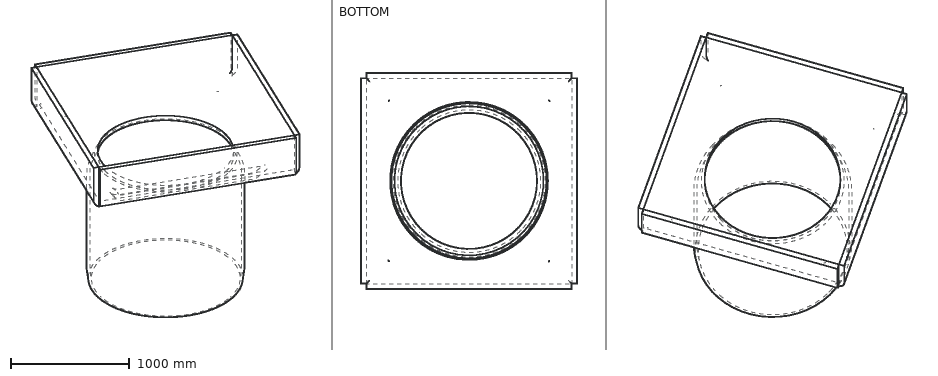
import cadquery as cq
import math

PAN_SIDE = 1820.0
TOTAL_HEIGHT = 1730.0
SHEET = 45.0
INNER_BEND = 36.0
CORNER_GAP = 0.4
PAN_DEPTH = 395.0
DISH_DROP = 133.0
DISH_SLOPE = 58.0
DISH_FLAT = 1147.0
OUTLET_DIAMETER = 1143.0

PIPE_DIAMETER = 1330.0
PIPE_BORE = 1280.0
NECK_BORE = 1150.0
SHOULDER_START = 122.0
SHOULDER_END = 177.0
TIP_LENGTH = 102.0
TIP_INSET = 13.0

OUTER_BEND = INNER_BEND + SHEET
FLOOR_TOP = SHEET - PAN_DEPTH
DISH_BOTTOM = -PAN_DEPTH - DISH_DROP
PIPE_WALL = (PIPE_DIAMETER - PIPE_BORE) / 2
OVERLAP = 18.0


def rounded_tray(side, bottom, bend):
    """Block below the rim, with its four lower edges rounded and mitred together."""

    def bar(axis):
        block = cq.Workplane("XY").box(side, side, -bottom, centered=(True, True, False))
        return block.translate((0, 0, bottom)).edges(f"<Z and |{axis}").fillet(bend)

    return bar("X").intersect(bar("Y"))


def dish_block(flat_side, bottom, top, bend):
    """Square frustum widening upward, rounded along its floor and sloping corners.

    flat_side is the side of the floor left flat by the bend.
    """
    slope = math.radians(DISH_SLOPE)
    side = flat_side + 2 * bend * math.tan(slope / 2)
    top_side = side + 2 * (top - bottom) / math.tan(slope)
    frustum = (
        cq.Workplane("XY")
        .workplane(offset=bottom)
        .rect(side, side)
        .workplane(offset=top - bottom)
        .rect(top_side, top_side)
        .loft(ruled=True)
    )
    return frustum.edges("not >Z").fillet(bend)


def make_pan():
    outer = rounded_tray(PAN_SIDE, -PAN_DEPTH, OUTER_BEND)
    dish_outer = dish_block(DISH_FLAT, DISH_BOTTOM, -PAN_DEPTH + OVERLAP, OUTER_BEND)
    outer = outer.union(dish_outer)
    lip_reach = PAN_SIDE / 2 - OUTER_BEND - OVERLAP
    outer = round_lip(outer, -PAN_DEPTH, lip_reach, INNER_BEND)

    inner = rounded_tray(PAN_SIDE - 2 * SHEET, FLOOR_TOP, INNER_BEND)
    dish_inner = dish_block(DISH_FLAT, DISH_BOTTOM + SHEET, FLOOR_TOP + OVERLAP, INNER_BEND)
    inner = inner.union(dish_inner)
    inner = round_lip(inner, FLOOR_TOP, lip_reach, OUTER_BEND)

    pan = outer.cut(inner)
    notch = SHEET + CORNER_GAP
    notches = (
        cq.Workplane("XY")
        .rect(PAN_SIDE - notch, PAN_SIDE - notch, forConstruction=True)
        .vertices()
        .rect(notch, notch)
        .extrude(-PAN_DEPTH)
    )
    outlet = cq.Workplane("XY").circle(OUTLET_DIAMETER / 2).extrude(DISH_BOTTOM - OVERLAP)
    return pan.cut(notches).cut(outlet)


def round_lip(body, level, reach, bend):
    """Round the edges at one level that lie within reach of the axis in X and Y."""
    lip = cq.selectors.BoxSelector(
        (-reach, -reach, level - SHEET / 10),
        (reach, reach, level + SHEET / 10),
        boundingbox=True,
    )
    return body.edges(lip).fillet(bend)


def make_pipe():
    """Revolved tube with a conical neck, a rounded shoulder and a tapered tip."""
    radius = PIPE_DIAMETER / 2
    bore = PIPE_BORE / 2
    rise = SHOULDER_END - SHOULDER_START
    neck_angle = math.atan((bore - NECK_BORE / 2) / (SHOULDER_END - rise / 2))
    bend = rise / math.sin(neck_angle)

    def shoulder(side_radius, bend_radius):
        """Start, middle and end of the shoulder arc on one face of the wall."""
        centre_x = side_radius - bend_radius
        centre_z = DISH_BOTTOM - SHOULDER_END
        return [
            (centre_x + bend_radius * math.cos(a), centre_z + bend_radius * math.sin(a))
            for a in (neck_angle, neck_angle / 2, 0)
        ]

    def neck_radius(start):
        return start[0] - (DISH_BOTTOM - start[1]) * math.tan(neck_angle)

    outside = shoulder(radius, bend)
    inside = shoulder(bore, bend - PIPE_WALL)
    tip_start = -TOTAL_HEIGHT + TIP_LENGTH
    profile = (
        cq.Workplane("XZ")
        .moveTo(neck_radius(outside[0]), DISH_BOTTOM)
        .lineTo(*outside[0])
        .threePointArc(outside[1], outside[2])
        .lineTo(radius, tip_start)
        .lineTo(radius - TIP_INSET, -TOTAL_HEIGHT)
        .lineTo(bore - TIP_INSET, -TOTAL_HEIGHT)
        .lineTo(bore, tip_start)
        .lineTo(*inside[2])
        .threePointArc(inside[1], inside[0])
        .lineTo(neck_radius(inside[0]), DISH_BOTTOM)
        .close()
    )
    return profile.revolve(360, (0, 0, 0), (0, 1, 0))


pan = make_pan()
pipe = make_pipe()
result = cq.Compound.makeCompound([pan.val(), pipe.val()])